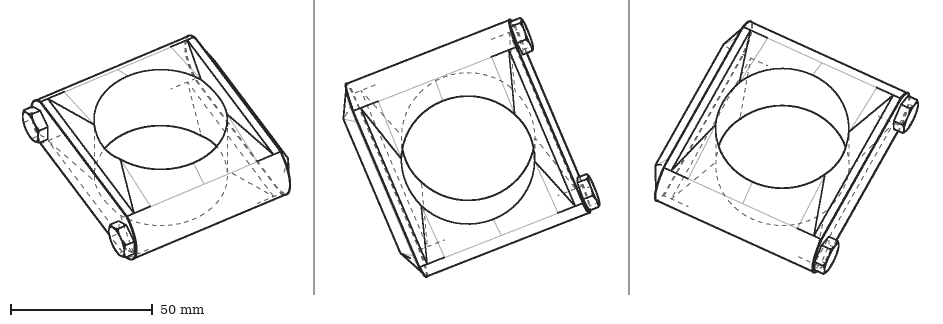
import cadquery as cq
import math

body_half_length = 31.0
body_half_height = 11.1
flat_half_width = 31.0
body_half_width = 37.72
bore_radius = 23.5

plate_thickness = 0.3
plate_overhang = 0.215
plate_chamfer = 0.2

overall_height = 29.85
crown_slope = math.radians(30)
crown_rise = overall_height / 2 - body_half_height
crown_top_half_length = 21.6
crown_base_half_length = crown_top_half_length + crown_rise / math.tan(crown_slope)

bolt_spacing = 2 * flat_half_width
head_across_flats = 11.15
head_height = 4.0
head_chamfer_slope = math.radians(30)

overall_length = 71.98
ridge_end_x = 26.6
ridge_foot_radius = 11.0
ridge_break_radius = 9.2
ridge_break_height = 0.65

plate_outer_y = body_half_length + plate_thickness
ridge_height = overall_length - 2 * plate_outer_y - head_height


def bowed_slab(half_width, half_height, y_start, length):
    """Slab extruded along +Y from y_start, flat above and below with arched ends."""
    return (
        cq.Workplane("XZ", origin=(0, y_start, 0))
        .moveTo(-flat_half_width, half_height)
        .lineTo(flat_half_width, half_height)
        .threePointArc((half_width, 0), (flat_half_width, -half_height))
        .lineTo(-flat_half_width, -half_height)
        .threePointArc((-half_width, 0), (-flat_half_width, half_height))
        .close()
        .extrude(-length)
    )


def end_plate(y_start, outer_face):
    """Thin end plate with its outer rim broken by a small chamfer."""
    plate = bowed_slab(
        body_half_width + plate_overhang,
        body_half_height,
        y_start,
        plate_thickness,
    )
    return plate.faces(outer_face).chamfer(plate_chamfer)


def flat_face(*corners):
    """Plane polygonal face through the given corners."""
    return cq.Face.makeFromWires(cq.Wire.makePolygon([cq.Vector(*c) for c in corners], close=True))


def crown_flank(side, end, top_z):
    """Ruled face from a quarter of the bore rim down to the long edge of the slab."""
    rim_angle = math.asin(crown_top_half_length / bore_radius)

    def rim_point(angle):
        return cq.Vector(
            side * bore_radius * math.cos(angle), end * bore_radius * math.sin(angle), top_z
        )

    rim = cq.Edge.makeThreePointArc(rim_point(0), rim_point(rim_angle / 2), rim_point(rim_angle))
    foot_x = side * flat_half_width
    foot = cq.Edge.makeLine(
        cq.Vector(foot_x, 0, body_half_height),
        cq.Vector(foot_x, end * crown_top_half_length, body_half_height),
    )
    return cq.Face.makeRuledSurface(rim, foot), rim


def crown():
    """Crown on the slab's top: two sloping ends, four corner triangles, four ruled flanks."""
    top_z = body_half_height + crown_rise
    rim_x = math.sqrt(bore_radius**2 - crown_top_half_length**2)
    faces = []
    top_edges = []
    for end in (-1, 1):
        rim_y = end * crown_top_half_length
        foot_y = end * crown_base_half_length
        rim_left = (-rim_x, rim_y, top_z)
        rim_right = (rim_x, rim_y, top_z)
        foot_left = (-flat_half_width, foot_y, body_half_height)
        foot_right = (flat_half_width, foot_y, body_half_height)
        faces.append(flat_face(foot_left, foot_right, rim_right, rim_left))
        top_edges.append(cq.Edge.makeLine(cq.Vector(*rim_left), cq.Vector(*rim_right)))
        for side in (-1, 1):
            corner = (side * flat_half_width, foot_y, body_half_height)
            flank_foot = (side * flat_half_width, rim_y, body_half_height)
            faces.append(flat_face(corner, flank_foot, (side * rim_x, rim_y, top_z)))
            flank, rim = crown_flank(side, end, top_z)
            faces.append(flank)
            top_edges.append(rim)
    faces.append(cq.Face.makeFromWires(cq.Wire.combine(top_edges)[0]))

    base_stations = [
        -crown_base_half_length,
        -crown_top_half_length,
        0,
        crown_top_half_length,
        crown_base_half_length,
    ]
    right_edge = [(flat_half_width, y, body_half_height) for y in base_stations]
    left_edge = [(-flat_half_width, y, body_half_height) for y in reversed(base_stations)]
    faces.append(flat_face(*right_edge, *left_edge))
    return cq.Workplane(cq.Solid.makeSolid(cq.Shell.makeShell(faces)))


def bolt_head(x):
    """Hexagon head with two vertical flats and chamfered outer corners."""
    corner_angle = 30
    corner_radius = head_across_flats / 2 / math.cos(math.radians(corner_angle))
    chamfer_depth = (corner_radius - head_across_flats / 2) * math.tan(head_chamfer_slope)
    outer_y = -plate_outer_y - head_height
    hexagon = (
        cq.Workplane("XZ", origin=(x, -plate_outer_y, 0))
        .transformed(rotate=(0, 0, corner_angle))
        .polygon(6, 2 * corner_radius)
        .extrude(head_height)
    )
    envelope = (
        cq.Workplane("XY", origin=(x, 0, 0))
        .moveTo(0, -plate_outer_y)
        .lineTo(corner_radius, -plate_outer_y)
        .lineTo(corner_radius, outer_y + chamfer_depth)
        .lineTo(head_across_flats / 2, outer_y)
        .lineTo(0, outer_y)
        .close()
        .revolve(360, (0, 0, 0), (0, 1, 0))
    )
    return hexagon.intersect(envelope)


def rear_ridge():
    """Hipped ridge along X with a shallow foot band and conical ends."""
    half_profile = [
        (ridge_foot_radius, plate_outer_y),
        (ridge_break_radius, plate_outer_y + ridge_break_height),
        (0, plate_outer_y + ridge_height),
    ]
    mirrored = [(-z, y) for z, y in reversed(half_profile[:-1])]
    ridge = (
        cq.Workplane("YZ", origin=(-ridge_end_x, 0, 0))
        .polyline([(y, z) for z, y in half_profile + mirrored])
        .close()
        .extrude(2 * ridge_end_x)
    )
    for x in (-ridge_end_x, ridge_end_x):
        hip = (
            cq.Workplane("XY", origin=(x, 0, 0))
            .polyline([(0, plate_outer_y)] + half_profile)
            .close()
            .revolve(360, (0, 0, 0), (0, 1, 0))
        )
        ridge = ridge.union(hip)
    return ridge


body = bowed_slab(body_half_width, body_half_height, -body_half_length, 2 * body_half_length)
top_crown = crown()
body = body.union(top_crown).union(top_crown.mirror("XY"))
bore_start = (0, 0, -overall_height)
bore = cq.Workplane("XY", origin=bore_start).circle(bore_radius).extrude(2 * overall_height)
body = body.cut(bore)

result = body.union(end_plate(-plate_outer_y, "<Y")).union(end_plate(body_half_length, ">Y"))
for bolt_x in (-bolt_spacing / 2, bolt_spacing / 2):
    result = result.union(bolt_head(bolt_x))
result = result.union(rear_ridge())